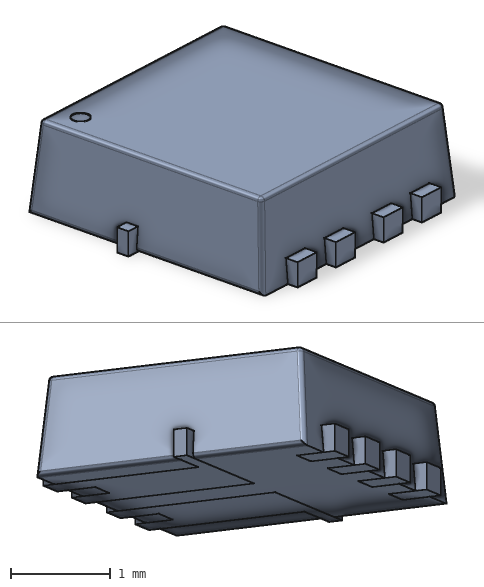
import cadquery as cq

OVERALL_SPAN = 3.31
OUTER = OVERALL_SPAN / 2
HEIGHT = 1.04

BASE_SIDE = 3.06
DRAFT_ANGLE = 5.0
EDGE_RADIUS = 0.05

LEAD_HEIGHT = 0.28
LEAD_WIDTH = 0.3
LEAD_LENGTH = 0.43
LEAD_PITCH = 0.652
LEADS_PER_SIDE = 4
OUTER_LEAD_Y = (LEADS_PER_SIDE - 1) / 2 * LEAD_PITCH
INNER_DRAIN_LEAD_Y = 0.375
TAB_WIDTH = 0.15
TAB_X = -0.182

PAD_X_MIN = TAB_X - TAB_WIDTH / 2
PAD_X_MAX = OUTER - LEAD_LENGTH
PAD_Y_MIN = INNER_DRAIN_LEAD_Y - LEAD_WIDTH / 2
PAD_Y_MAX = OUTER_LEAD_Y + LEAD_WIDTH / 2

MARK_DIAMETER = 0.205
MARK_DEPTH = 0.01
MARK_X = -1.16
MARK_Y = -1.135


def block(x_min, x_max, y_min, y_max):
    """Box standing on the bottom plane, as tall as the leads."""
    size_x = x_max - x_min
    size_y = y_max - y_min
    return cq.Workplane("XY", origin=(x_min, y_min, 0)).box(size_x, size_y, LEAD_HEIGHT, centered=False)


def lead_block(x_min, x_max, y):
    """Block as wide as a lead, centred on the given Y."""
    return block(x_min, x_max, y - LEAD_WIDTH / 2, y + LEAD_WIDTH / 2)


def make_source_lead(y):
    """One separate lead on the -X side."""
    return lead_block(-OUTER, -OUTER + LEAD_LENGTH, y)


def make_drain():
    """Drain of the +Y half: a pad with two leads towards +X and one tab towards +Y."""
    drain = block(PAD_X_MIN, PAD_X_MAX, PAD_Y_MIN, PAD_Y_MAX)
    for y in (INNER_DRAIN_LEAD_Y, OUTER_LEAD_Y):
        drain = drain.union(lead_block(PAD_X_MAX, OUTER, y))
    tab = block(PAD_X_MIN, PAD_X_MIN + TAB_WIDTH, PAD_Y_MAX, OUTER)
    return drain.union(tab)


def make_pin_1_mark():
    """Volume of the shallow recess that marks pin 1."""
    mark = cq.Workplane("XY", origin=(MARK_X, MARK_Y, HEIGHT))
    return mark.circle(MARK_DIAMETER / 2).extrude(-MARK_DEPTH)


def make_housing(inserts):
    """Tapered, rounded block with the pin-1 mark and a matching recess for every insert."""
    housing = cq.Workplane("XY").rect(BASE_SIDE, BASE_SIDE).extrude(HEIGHT, taper=DRAFT_ANGLE)
    housing = housing.edges("not (<Z and |Y)").fillet(EDGE_RADIUS)
    housing = housing.cut(make_pin_1_mark())
    for insert in inserts:
        housing = housing.cut(insert)
    return housing


source_leads = [
    make_source_lead(row * LEAD_PITCH - OUTER_LEAD_Y) for row in range(LEADS_PER_SIDE)
]
upper_drain = make_drain()
drains = [upper_drain, upper_drain.mirror("XZ")]
housing = make_housing(source_leads + drains)

result = cq.Compound.makeCompound(
    [
        housing.val(),
        *[lead.val() for lead in source_leads],
        *[drain.val() for drain in drains],
    ]
)